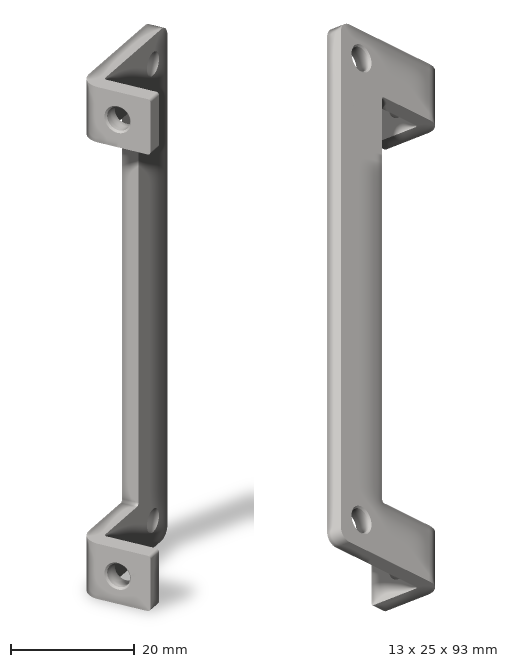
import cadquery as cq

height = 93.0
plate_depth = 25.0
tab_length = 13.0

thickness = 3.0
inner_bend_radius = 0.5
outer_bend_radius = inner_bend_radius + thickness

strip_width = 10.0
arm_height = 10.0
notch_fillet = 0.5
plate_corner_radius = 2.0
tab_corner_radius = 0.5

hole_diameter = 4.2
countersink_diameter = 4.8
tab_hole_x = 7.1
plate_hole_y = plate_depth - strip_width / 2
hole_levels = (arm_height / 2, height - arm_height / 2)


def bent_sheet():
    """L-shaped sheet with its outer corner at the origin, full height."""
    return (
        cq.Workplane("XY")
        .polyline([
            (0, 0),
            (tab_length, 0),
            (tab_length, thickness),
            (thickness, thickness),
            (thickness, plate_depth),
            (0, plate_depth),
        ])
        .close()
        .extrude(height)
        .edges(cq.selectors.NearestToPointSelector((0, 0, height / 2)))
        .fillet(outer_bend_radius)
        .edges(cq.selectors.NearestToPointSelector((thickness, thickness, height / 2)))
        .fillet(inner_bend_radius)
    )


def window():
    """Opening between the arms, rounded where it meets the strip."""
    return (
        cq.Workplane("XY")
        .box(tab_length, plate_depth - strip_width, height - 2 * arm_height, centered=False)
        .translate((0, 0, arm_height))
        .edges("|X and >Y")
        .fillet(notch_fillet)
    )


def hole_cutter():
    """Through hole along +Z, with its countersink at Z = 0."""
    countersink_depth = (countersink_diameter - hole_diameter) / 2
    bore = cq.Workplane("XY").circle(hole_diameter / 2).extrude(thickness)
    countersink = (
        cq.Workplane("XY")
        .circle(countersink_diameter / 2)
        .extrude(countersink_depth, taper=45)
    )
    return bore.union(countersink)


bracket = bent_sheet().cut(window())
bracket = bracket.edges("|X and >Y").fillet(plate_corner_radius)
bracket = bracket.edges("|Y and >X").fillet(tab_corner_radius)

plate_cutter = hole_cutter().rotate((0, 0, 0), (0, 1, 0), 90)
tab_cutter = hole_cutter().rotate((0, 0, 0), (1, 0, 0), -90)
for level in hole_levels:
    bracket = bracket.cut(plate_cutter.translate((0, plate_hole_y, level)))
    bracket = bracket.cut(tab_cutter.translate((tab_hole_x, 0, level)))

result = bracket